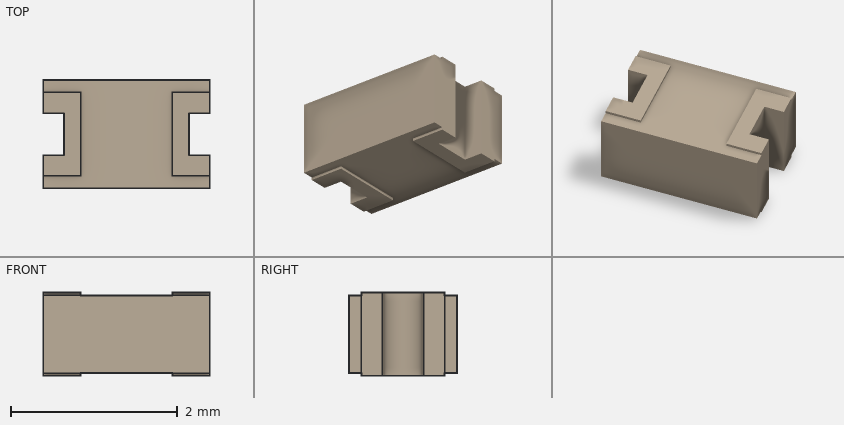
import cadquery as cq

length = 2.0
width = 1.3
terminal_height = 1.0
terminal_rise = 0.035
terminal_length = 0.45
side_wall = 0.15
notch_width = 0.5
notch_depth = 0.25

body_height = terminal_height - 2 * terminal_rise
terminal_width = width - 2 * side_wall
terminal_center = (length - terminal_length) / 2
notch_center = (length - notch_depth) / 2


def make_body():
    """H-shaped body: a core between two side walls, with a bay at each end for a terminal."""
    block = cq.Workplane("XY").box(length, width, body_height)
    bays = (
        cq.Workplane("XY")
        .pushPoints([(-terminal_center, 0), (terminal_center, 0)])
        .box(terminal_length, terminal_width, body_height)
    )
    return block.cut(bays).solids()


def make_terminal(side):
    """Terminal block with a notch through its outer end; side is -1 or +1 along X."""
    block = (
        cq.Workplane("XY")
        .center(side * terminal_center, 0)
        .box(terminal_length, terminal_width, terminal_height)
    )
    notch = (
        cq.Workplane("XY")
        .center(side * notch_center, 0)
        .box(notch_depth, notch_width, terminal_height)
    )
    return block.cut(notch).solids()


body = make_body()
terminals = [make_terminal(side) for side in (-1, 1)]

result = cq.Compound.makeCompound([body.val(), *[terminal.val() for terminal in terminals]])